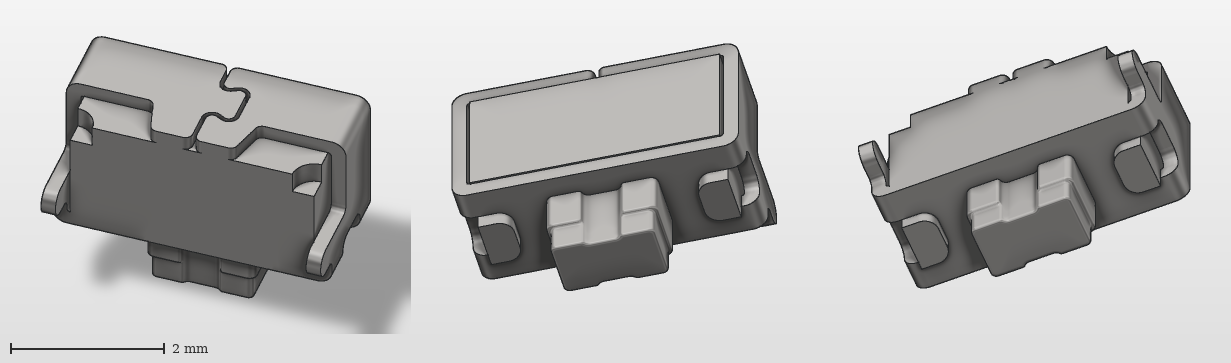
import cadquery as cq
import math


WIDTH = 3.85
SHELL_HEIGHT = 1.95
SHELL_DEPTH = 1.525
SHEET = 0.2
OUTER_BEND = 0.2
INNER_BEND = 0.05
CORNER_ROUND = 0.1

CUTBACK_DEPTH = 0.55
TONGUE_BASE_HALF = 0.728
TONGUE_TIP_HALF = 0.575

TAB_REACH = 0.45
TAB_BOTTOM = 0.4
TAB_WIDTH = 0.4
TAB_TOP = TAB_BOTTOM + TAB_WIDTH

SEAM_WIDTH = 0.055
SEAM_BEND = 0.115
SEAM_REACH = 0.405
SEAM_MIDDLE = 0.825
NECK_OFFSET = 0.37
HEAD_OFFSET = 0.2

SIDE_GAP = 0.045
BLOCK_HALF = WIDTH / 2 - SHEET - SIDE_GAP
BLOCK_DEPTH = 1.548
BLOCK_TOP = SHELL_HEIGHT - SHEET
MIDDLE_Y = BLOCK_DEPTH / 2
CORNER_NOTCH = 0.3

FOOT_LENGTH = 0.44
FOOT_WIDTH = 0.685
FOOT_DROP = 0.2
FOOT_ROUND = 0.2
WINDOW_TOP = 0.375
WINDOW_ROUND = 0.175

PLUNGER_LENGTH = 1.5
PLUNGER_WIDTH = 0.9
PLUNGER_DROP = 0.95
PLUNGER_ROUND = 0.1
STEP_INSET = 0.05
STEP_DROP = 0.55
STEP_SLOPE = 0.03
STEP_BLEND = 0.045
TIP_ROUND = 0.045
TIP_CORNER_ROUND = 0.077
CHANNEL_FLOOR = 0.34
CHANNEL_DEPTH = 0.1
CHANNEL_LIP_ROUND = 0.05

MARGIN = 0.008


def box(x0, x1, y0, y1, z0, z1):
    return cq.Workplane("XY").box(x1 - x0, y1 - y0, z1 - z0, centered=False).translate((x0, y0, z0))


def both_sides(solid):
    return solid.union(solid.mirror("YZ"))


def make_sleeve():
    """Closed rectangular tube with rounded bends."""
    outer = box(-WIDTH / 2, WIDTH / 2, 0, SHELL_DEPTH, 0, SHELL_HEIGHT).edges("|Y").fillet(OUTER_BEND)
    inner_half = WIDTH / 2 - SHEET
    inner = box(-inner_half, inner_half, 0, SHELL_DEPTH, SHEET, BLOCK_TOP).edges("|Y").fillet(INNER_BEND)
    return outer.cut(inner)


def make_top_cutback():
    """Front corner area removed from the top sheet, leaving a tapered tongue."""
    cutter = (
        cq.Workplane("XY", origin=(0, 0, BLOCK_TOP - INNER_BEND))
        .moveTo(-WIDTH / 2, 0)
        .lineTo(-TONGUE_TIP_HALF, 0)
        .lineTo(-TONGUE_BASE_HALF, CUTBACK_DEPTH)
        .lineTo(-WIDTH / 2, CUTBACK_DEPTH)
        .close()
        .extrude(SHEET + INNER_BEND)
    )
    return both_sides(cutter)


def make_side_cutback():
    """Front of the side walls removed above the tabs."""
    cutter = box(-WIDTH / 2, -BLOCK_HALF, 0, CUTBACK_DEPTH, TAB_TOP, SHELL_HEIGHT)
    cutter = cutter.edges("|X and >Y and <Z").fillet(CORNER_ROUND)
    return both_sides(cutter)


def make_tabs():
    """Round-ended tabs with a blend into the shell front below them."""
    x0 = -WIDTH / 2
    x1 = x0 + SHEET
    tip_radius = TAB_WIDTH / 2
    tip_y = tip_radius - TAB_REACH
    tab = box(x0, x1, tip_y, CUTBACK_DEPTH, TAB_BOTTOM, TAB_TOP)
    tip = cq.Workplane("YZ", origin=(x0, 0, 0)).center(tip_y, TAB_BOTTOM + tip_radius)
    tab = tab.union(tip.circle(tip_radius).extrude(SHEET))
    blend = box(x0, x1, -CORNER_ROUND, 0, TAB_BOTTOM - CORNER_ROUND, TAB_BOTTOM)
    hollow = cq.Workplane("YZ", origin=(x0, 0, 0)).center(-CORNER_ROUND, TAB_BOTTOM - CORNER_ROUND)
    blend = blend.cut(hollow.circle(CORNER_ROUND).extrude(SHEET))
    return both_sides(tab.union(blend))


def make_seam():
    """Constant-width slot following a dovetail-like path of tangent arcs."""
    neck_x = SEAM_BEND
    head_x = SEAM_REACH - SEAM_BEND
    run_x = head_x - neck_x
    run_y = NECK_OFFSET - HEAD_OFFSET
    flank_angle = math.asin(2 * SEAM_BEND / math.hypot(run_x, run_y)) - math.atan2(run_y, run_x)
    lift = SEAM_BEND * math.cos(flank_angle)
    lean = SEAM_BEND * math.sin(flank_angle)
    half_turn = (math.pi / 2 + flank_angle) / 2
    mid_x = SEAM_BEND * math.cos(half_turn)
    mid_y = SEAM_BEND * math.sin(half_turn)

    def above(x, offset):
        return (x, SEAM_MIDDLE + offset)

    def below(x, offset):
        return (x, SEAM_MIDDLE - offset)

    neck_end = (neck_x + lean, NECK_OFFSET - lift)
    head_start = (head_x - lean, HEAD_OFFSET + lift)
    neck_mid = (neck_x - mid_x, NECK_OFFSET - mid_y)
    head_mid = (head_x + mid_x, HEAD_OFFSET + mid_y)
    path = (
        cq.Workplane("XY", origin=(0, 0, BLOCK_TOP))
        .moveTo(0, SHELL_DEPTH)
        .lineTo(*above(0, NECK_OFFSET))
        .threePointArc(above(*neck_mid), above(*neck_end))
        .lineTo(*above(*head_start))
        .threePointArc(above(*head_mid), above(SEAM_REACH, HEAD_OFFSET))
        .lineTo(*below(SEAM_REACH, HEAD_OFFSET))
        .threePointArc(below(*head_mid), below(*head_start))
        .lineTo(*below(*neck_end))
        .threePointArc(below(*neck_mid), below(0, NECK_OFFSET))
        .lineTo(0, 0)
    )
    section = cq.Workplane("XZ", origin=(0, SHELL_DEPTH, BLOCK_TOP + SHEET / 2))
    return section.rect(SEAM_WIDTH, SHEET).sweep(path)


def make_foot():
    """Left foot of the block, rounded on its inner vertical edges."""
    y0 = MIDDLE_Y - FOOT_WIDTH / 2
    foot = box(-BLOCK_HALF, FOOT_LENGTH - BLOCK_HALF, y0, y0 + FOOT_WIDTH, -FOOT_DROP, SHEET)
    return foot.edges("|Z and >X").fillet(FOOT_ROUND)


def make_windows():
    """Openings across the lower bends, in line with the feet."""
    y0 = MIDDLE_Y - FOOT_WIDTH / 2
    window = box(-WIDTH / 2, -BLOCK_HALF, y0, y0 + FOOT_WIDTH, 0, WINDOW_TOP)
    return both_sides(window.edges("|X and >Z").fillet(WINDOW_ROUND))


def make_shell():
    shell = make_sleeve().cut(make_top_cutback()).cut(make_side_cutback())
    near_tongue = cq.selectors.BoxSelector(
        (-TONGUE_BASE_HALF - MARGIN, -MARGIN, BLOCK_TOP),
        (TONGUE_BASE_HALF + MARGIN, CUTBACK_DEPTH + MARGIN, SHELL_HEIGHT),
    )
    shell = shell.edges("|Z").edges(near_tongue).fillet(CORNER_ROUND)
    shell = shell.cut(make_seam())
    seam_mouth = cq.selectors.BoxSelector(
        (-SEAM_WIDTH, -MARGIN, BLOCK_TOP),
        (SEAM_WIDTH, SHELL_DEPTH + MARGIN, SHELL_HEIGHT),
    )
    shell = shell.edges("|Z").edges(seam_mouth).edges("<Y or >Y").fillet(CORNER_ROUND)
    return shell.union(make_tabs()).cut(make_windows())


def make_block():
    block = box(-BLOCK_HALF, BLOCK_HALF, 0, BLOCK_DEPTH, SHEET, BLOCK_TOP)
    notches = (
        cq.Workplane("XY", origin=(0, 0, BLOCK_TOP - CORNER_NOTCH))
        .pushPoints([(-BLOCK_HALF, 0), (BLOCK_HALF, 0)])
        .circle(CORNER_NOTCH)
        .extrude(CORNER_NOTCH)
    )
    return block.cut(notches).union(both_sides(make_foot()))


def rounded_post(length, width, corner_round, z0, z1):
    post = box(-length / 2, length / 2, -width / 2, width / 2, z0, z1)
    return post.edges("|Z").fillet(corner_round)


def make_plunger():
    """Two-step rounded post with a channel down its front and back."""
    slope_bottom = -STEP_DROP - STEP_SLOPE
    tip_length = PLUNGER_LENGTH - 2 * STEP_INSET
    tip_width = PLUNGER_WIDTH - 2 * STEP_INSET
    upper = rounded_post(PLUNGER_LENGTH, PLUNGER_WIDTH, PLUNGER_ROUND, -STEP_DROP, SHEET)
    lower = rounded_post(tip_length, tip_width, TIP_CORNER_ROUND, -PLUNGER_DROP, slope_bottom)
    slope_ends = [upper.faces("<Z").wires().val(), lower.faces(">Z").wires().val()]
    slope = cq.Workplane(cq.Solid.makeLoft(slope_ends, True))
    plunger = upper.union(slope).union(lower)
    step_zone = cq.selectors.BoxSelector(
        (-PLUNGER_LENGTH, -PLUNGER_WIDTH, slope_bottom - MARGIN),
        (PLUNGER_LENGTH, PLUNGER_WIDTH, -STEP_DROP + MARGIN),
        boundingbox=True,
    )
    plunger = plunger.edges(step_zone).edges("#Z").fillet(STEP_BLEND)

    channel_half = CHANNEL_FLOOR / 2 + CHANNEL_DEPTH
    floor_y = PLUNGER_WIDTH / 2 - CHANNEL_DEPTH
    channel = box(-channel_half, channel_half, floor_y, PLUNGER_WIDTH, -PLUNGER_DROP, SHEET)
    channel = channel.edges("|Z and <Y").fillet(CHANNEL_DEPTH)
    plunger = plunger.cut(channel).cut(channel.mirror("XZ"))
    for side in (-1, 1):
        lips = cq.selectors.BoxSelector(
            (-channel_half - MARGIN, side * (floor_y + MARGIN), -PLUNGER_DROP - MARGIN),
            (channel_half + MARGIN, side * (PLUNGER_WIDTH / 2 + MARGIN), SHEET - MARGIN),
            boundingbox=True,
        )
        plunger = plunger.edges(lips).fillet(CHANNEL_LIP_ROUND)

    plunger = plunger.faces("<Z").edges().fillet(TIP_ROUND)
    return plunger.translate((0, MIDDLE_Y, 0))


result = make_shell().union(make_block()).union(make_plunger())